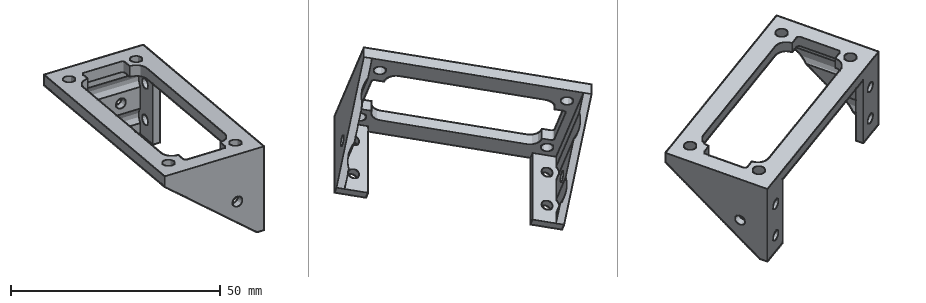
import cadquery as cq

length = 56.3
depth = 27.7
height = 23.2

plate_thickness = 3.0
wall_thickness = 2.0
flange_thickness = 2.0
flange_width = 7.8
wall_foot = flange_thickness

window_length = 42.1
window_width = 17.7
window_radius = 3.0
notch_length = 47.95
notch_width = 11.65
notch_radius = 0.7

plate_hole_diameter = 3.0
plate_hole_inset = 5.0
plate_hole_spacing_y = 18.65
screw_diameter = 2.7
screw_inset = 4.2
upper_screw_drop = 8.05
screw_spacing = 10.0
head_clearance_diameter = 5.95
wall_hole_setback = 7.45
wall_hole_drop = upper_screw_drop + screw_spacing / 2


def side_wall(left_x):
    """Tapered wall whose left face is at left_x."""
    return (
        cq.Workplane("YZ", origin=(left_x, 0, 0))
        .polyline([(0, 0), (-depth, 0), (-depth, -plate_thickness), (-wall_foot, -height), (0, -height)])
        .close()
        .extrude(wall_thickness)
    )


def rear_flange(left_x):
    """Upright mounting flange whose left edge is at left_x."""
    return cq.Workplane("XY").box(
        flange_width, flange_thickness, height, centered=False
    ).translate((left_x, -flange_thickness, -height))


def window_cutter(size_x, size_y, radius):
    """Rounded rectangular cutter through the top plate."""
    return (
        cq.Workplane("XY", origin=(0, -depth / 2, -plate_thickness))
        .rect(size_x, size_y)
        .extrude(plate_thickness)
        .edges("|Z")
        .fillet(radius)
    )


body = cq.Workplane("XY").box(length, depth, plate_thickness).translate((0, -depth / 2, -plate_thickness / 2))
for wall_x in (-length / 2, length / 2 - wall_thickness):
    body = body.union(side_wall(wall_x))
for flange_x in (-length / 2, length / 2 - flange_width):
    body = body.union(rear_flange(flange_x))

body = body.cut(window_cutter(window_length, window_width, window_radius))
body = body.cut(window_cutter(notch_length, notch_width, notch_radius))

plate_holes = (
    cq.Workplane("XY", origin=(0, -plate_hole_inset - plate_hole_spacing_y / 2, -plate_thickness))
    .rarray(length - 2 * plate_hole_inset, plate_hole_spacing_y, 2, 2)
    .circle(plate_hole_diameter / 2)
    .extrude(plate_thickness)
)
body = body.cut(plate_holes)


def flange_cylinders(diameter, start_y, end_y):
    """Four cylinders on the flange screw axes, running forward from start_y to end_y."""
    return (
        cq.Workplane("XZ", origin=(0, start_y, -wall_hole_drop))
        .rarray(length - 2 * screw_inset, screw_spacing, 2, 2)
        .circle(diameter / 2)
        .extrude(start_y - end_y)
    )


body = body.cut(flange_cylinders(screw_diameter, 0, -flange_thickness))
body = body.cut(flange_cylinders(head_clearance_diameter, -flange_thickness, -depth))

wall_hole = (
    cq.Workplane("YZ", origin=(-length / 2, 0, 0))
    .center(-wall_hole_setback, -wall_hole_drop)
    .circle(screw_diameter / 2)
    .extrude(length)
)
result = body.cut(wall_hole)